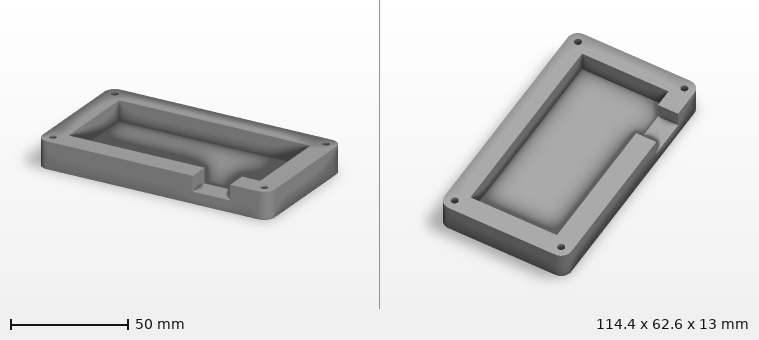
import cadquery as cq

length = 114.4
width = 62.6
height = 13.0
corner_radius = 5.0

wall = 10.0
pocket_depth = 10.0

notch_center_x = 29.1
notch_width = 18.5
notch_depth = 7.3

hole_diameter = 3.4


def make_body():
    body = cq.Workplane("XY").box(length, width, height, centered=(True, True, False))
    return body.edges("|Z").fillet(corner_radius)


def cut_pocket(body):
    pocket = (
        cq.Workplane("XY")
        .workplane(offset=height - pocket_depth)
        .rect(length - 2 * wall, width - 2 * wall)
        .extrude(pocket_depth)
    )
    return body.cut(pocket)


def cut_notch(body):
    wall_center_y = -(width - wall) / 2
    notch = (
        cq.Workplane("XY")
        .workplane(offset=height - notch_depth)
        .center(notch_center_x, wall_center_y)
        .rect(notch_width, wall)
        .extrude(notch_depth)
    )
    return body.cut(notch)


def cut_corner_holes(body):
    holes = (
        cq.Workplane("XY")
        .rect(length - 2 * corner_radius, width - 2 * corner_radius, forConstruction=True)
        .vertices()
        .circle(hole_diameter / 2)
        .extrude(height)
    )
    return body.cut(holes)


result = cut_corner_holes(cut_notch(cut_pocket(make_body())))